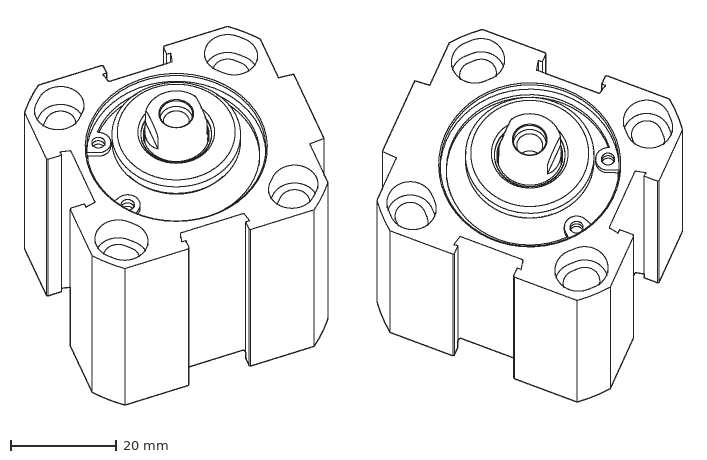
import cadquery as cq
import math

BODY_WIDTH = 46.0
BODY_DEPTH = 48.0
BODY_HEIGHT = 44.5
CORNER_DIAMETER = 60.0
RAIL_HEIGHT = 3.0
RAIL_TOP_WIDTH = 16.15
RAIL_BASE_WIDTH = 16.6

SIDE_SLOT_DEPTH = 4.0
SIDE_LIP_THICKNESS = 2.0
SLOT_LIP_CHAMFER = 0.2
SLOT_MOUTH_WIDTH = 12.2
SLOT_LIP_WIDTH = 13.8
SLOT_FLOOR_WIDTH = 12.95
SLOT_FLOOR_FILLET = 0.2

MOUNT_X = 16.55
MOUNT_Y = 17.5
MOUNT_STRETCH = 1.35
MOUNT_DIAMETER = 5.75
COUNTERBORE_DIAMETER = 8.9
COUNTERBORE_DEPTH = 5.8

MOUTH_DIAMETER = 34.1
MOUTH_CHAMFER = 0.3
BORE_DIAMETER = 33.7
BORE_DEPTH = 13.9

RING_TOP_DEPTH = 2.15
RING_THICKNESS = 1.1
RING_OUTER_DIAMETER = 35.8
RING_INNER_DIAMETER = 31.75
LUG_RADIUS_POSITION = 15.05
LUG_ANGLE = 31.2
LUG_DIAMETER = 4.7
LUG_HOLE_DIAMETER = 2.5

NECK_DIAMETER = 23.0
NECK_ROOT_FILLET = 0.35
LUG_RECESS_DEPTH = 1.1
FLANGE_DIAMETER = 24.5
FLANGE_TOP_DIAMETER = 22.4
FLANGE_TOP_Z = 49.5
FLANGE_TOP_CHAMFER_HEIGHT = 0.85
FLANGE_RIM_HEIGHT = 2.1
FLANGE_UNDERSIDE_HEIGHT = 1.3
WIPER_MOUTH_DIAMETER = 14.6
WIPER_DIAMETER = 13.45
WIPER_DEPTH = 0.9
WIPER_STEP_DIAMETER = 12.55
WIPER_STEP_DEPTH = 3.35

ROD_DIAMETER = 12.0
ROD_TOP_Z = 55.5
ROD_END_FILLET = 1.35
ROD_FLAT_WIDTH = 10.0
ROD_FLAT_LENGTH = 4.65
SOCKET_DIAMETER = 6.25
SOCKET_CHAMFER = 0.15
SOCKET_DEPTH = 2.0
SOCKET_CONE_HEIGHT = 0.35
DRILL_DIAMETER = 4.95
DRILL_MOUTH_DIAMETER = 5.35
DRILL_DEPTH = 10.0
DRILL_TIP_HEIGHT = 0.35

SLOT_FLOOR_DISTANCE = BODY_WIDTH / 2 - SIDE_SLOT_DEPTH
SLOT_LIP_DISTANCE = BODY_WIDTH / 2 - SIDE_LIP_THICKNESS
BORE_FLOOR_Z = BODY_HEIGHT - BORE_DEPTH
RING_TOP_Z = BODY_HEIGHT - RING_TOP_DEPTH
RING_BOTTOM_Z = RING_TOP_Z - RING_THICKNESS


def cylinder(diameter, bottom_z, top_z):
    return cq.Workplane("XY").workplane(offset=bottom_z).circle(diameter / 2).extrude(top_z - bottom_z)


def revolve_profile(points):
    """Turn a closed (radius, z) profile around the Z axis."""
    return cq.Workplane("XZ").polyline(points).close().revolve(360, (0, 0, 0), (0, 1, 0))


def body_block():
    """Rectangular block with its corners rounded by one large circle, plus the tapered rail."""
    block = cq.Workplane("XY").rect(BODY_WIDTH, BODY_DEPTH).extrude(BODY_HEIGHT)
    block = block.intersect(cylinder(CORNER_DIAMETER, 0, BODY_HEIGHT))
    rail_base_y = BODY_DEPTH / 2
    rail_top_y = rail_base_y + RAIL_HEIGHT
    rail = (
        cq.Workplane("XY")
        .polyline([
            (-RAIL_BASE_WIDTH / 2, 0),
            (-RAIL_BASE_WIDTH / 2, rail_base_y),
            (-RAIL_TOP_WIDTH / 2, rail_top_y),
            (RAIL_TOP_WIDTH / 2, rail_top_y),
            (RAIL_BASE_WIDTH / 2, rail_base_y),
            (RAIL_BASE_WIDTH / 2, 0),
        ])
        .close()
        .extrude(BODY_HEIGHT)
    )
    return block.union(rail)


def t_slot(angle, face_distance):
    """T-slot cutter that opens through a -Y face at the given distance, turned about Z by the angle."""
    chamber = (
        cq.Workplane("XY")
        .polyline([
            (-SLOT_LIP_WIDTH / 2, -SLOT_LIP_DISTANCE),
            (-SLOT_FLOOR_WIDTH / 2, -SLOT_FLOOR_DISTANCE),
            (SLOT_FLOOR_WIDTH / 2, -SLOT_FLOOR_DISTANCE),
            (SLOT_LIP_WIDTH / 2, -SLOT_LIP_DISTANCE),
        ])
        .close()
        .extrude(BODY_HEIGHT)
        .edges("|Z and >Y")
        .fillet(SLOT_FLOOR_FILLET)
    )
    mouth_half = SLOT_MOUTH_WIDTH / 2
    flared_half = mouth_half + SLOT_LIP_CHAMFER
    mouth = (
        cq.Workplane("XY")
        .polyline([
            (-mouth_half, -SLOT_LIP_DISTANCE),
            (-mouth_half, -face_distance + SLOT_LIP_CHAMFER),
            (-flared_half, -face_distance),
            (flared_half, -face_distance),
            (mouth_half, -face_distance + SLOT_LIP_CHAMFER),
            (mouth_half, -SLOT_LIP_DISTANCE),
        ])
        .close()
        .extrude(BODY_HEIGHT)
    )
    return chamber.union(mouth).rotate((0, 0, 0), (0, 0, 1), angle)


def mount_slot(x, y):
    """Counterbored slot cutter, stretched square to the line from the bore axis."""
    angle = math.degrees(math.atan2(y, x)) + 90
    through = (
        cq.Workplane("XY").center(x, y)
        .slot2D(MOUNT_DIAMETER + MOUNT_STRETCH, MOUNT_DIAMETER, angle)
        .extrude(BODY_HEIGHT)
    )
    counterbore = (
        cq.Workplane("XY").workplane(offset=BODY_HEIGHT - COUNTERBORE_DEPTH).center(x, y)
        .slot2D(COUNTERBORE_DIAMETER + MOUNT_STRETCH, COUNTERBORE_DIAMETER, angle)
        .extrude(COUNTERBORE_DEPTH)
    )
    return through.union(counterbore)


def bore():
    """Cutter for the blind bore, the retaining ring groove and the chamfered mouth."""
    bore_radius = BORE_DIAMETER / 2
    groove_radius = RING_OUTER_DIAMETER / 2
    mouth_radius = MOUTH_DIAMETER / 2
    return revolve_profile([
        (0, BORE_FLOOR_Z),
        (bore_radius, BORE_FLOOR_Z),
        (bore_radius, RING_BOTTOM_Z),
        (groove_radius, RING_BOTTOM_Z),
        (groove_radius, RING_TOP_Z),
        (mouth_radius, RING_TOP_Z),
        (mouth_radius, BODY_HEIGHT - MOUTH_CHAMFER),
        (mouth_radius + MOUTH_CHAMFER, BODY_HEIGHT),
        (0, BODY_HEIGHT),
    ])


def make_housing():
    body = body_block().cut(bore())
    for angle, face_distance in ((-90, BODY_WIDTH / 2), (0, BODY_DEPTH / 2), (90, BODY_WIDTH / 2)):
        body = body.cut(t_slot(angle, face_distance))
    for side_x in (-1, 1):
        for side_y in (-1, 1):
            body = body.cut(mount_slot(side_x * MOUNT_X, side_y * MOUNT_Y))
    return body


def polar_point(radius, angle):
    """Point at a radius, at an angle in degrees from -Y toward +X."""
    return (radius * math.sin(math.radians(angle)), -radius * math.cos(math.radians(angle)))


def ring_sector(start_angle, end_angle, inner_radius):
    """Wedge between two radial lines, reaching past the ring's outer edge."""
    reach = RING_OUTER_DIAMETER
    points = [
        polar_point(inner_radius, start_angle),
        polar_point(reach, start_angle),
        polar_point(reach, end_angle),
        polar_point(inner_radius, end_angle),
    ]
    return cq.Workplane("XY").workplane(offset=RING_BOTTOM_Z).polyline(points).close().extrude(RING_THICKNESS)


def make_retaining_ring():
    """Open ring whose ends widen into round lugs bounded by tangent radial lines."""
    lug_radius = LUG_DIAMETER / 2
    lug_half_angle = math.degrees(math.asin(lug_radius / LUG_RADIUS_POSITION))
    tangent_radius = math.sqrt(LUG_RADIUS_POSITION ** 2 - lug_radius ** 2)
    disc = cylinder(RING_OUTER_DIAMETER, RING_BOTTOM_Z, RING_TOP_Z)
    ring = disc.cut(cylinder(RING_INNER_DIAMETER, RING_BOTTOM_Z, RING_TOP_Z))
    gap_half_angle = LUG_ANGLE - lug_half_angle
    ring = ring.cut(ring_sector(-gap_half_angle, gap_half_angle, LUG_RADIUS_POSITION))
    for side in (-1, 1):
        angle = side * LUG_ANGLE
        x, y = polar_point(LUG_RADIUS_POSITION, angle)
        shoulder = ring_sector(angle - lug_half_angle, angle + lug_half_angle, tangent_radius)
        eye = cylinder(LUG_DIAMETER, RING_BOTTOM_Z, RING_TOP_Z).translate((x, y, 0))
        ring = ring.union(shoulder.intersect(disc)).union(eye)
        ring = ring.cut(lug_hole(side, RING_BOTTOM_Z, RING_TOP_Z))
    return ring


def lug_hole(side, bottom_z, top_z):
    """Upright cylinder on the axis of the lug hole at the -X or +X side."""
    x, y = polar_point(LUG_RADIUS_POSITION, side * LUG_ANGLE)
    return cylinder(LUG_HOLE_DIAMETER, bottom_z, top_z).translate((x, y, 0))


def neck_root():
    """Selector for the circle where the neck meets the disc."""
    reach = NECK_DIAMETER / 2 + NECK_ROOT_FILLET
    return cq.selectors.BoxSelector(
        (-reach, -reach, RING_BOTTOM_Z - NECK_ROOT_FILLET),
        (reach, reach, RING_BOTTOM_Z + NECK_ROOT_FILLET),
        boundingbox=True,
    )


def make_head_cover():
    disc_radius = BORE_DIAMETER / 2
    neck_radius = NECK_DIAMETER / 2
    flange_radius = FLANGE_DIAMETER / 2
    wiper_radius = WIPER_DIAMETER / 2
    wiper_mouth_radius = WIPER_MOUTH_DIAMETER / 2
    step_radius = WIPER_STEP_DIAMETER / 2
    rod_radius = ROD_DIAMETER / 2
    rim_top_z = FLANGE_TOP_Z - FLANGE_TOP_CHAMFER_HEIGHT
    rim_bottom_z = rim_top_z - FLANGE_RIM_HEIGHT
    neck_top_z = rim_bottom_z - FLANGE_UNDERSIDE_HEIGHT
    wiper_floor_z = FLANGE_TOP_Z - WIPER_DEPTH
    step_floor_z = FLANGE_TOP_Z - WIPER_STEP_DEPTH
    cover = revolve_profile([
        (rod_radius, BORE_FLOOR_Z),
        (disc_radius, BORE_FLOOR_Z),
        (disc_radius, RING_BOTTOM_Z),
        (neck_radius, RING_BOTTOM_Z),
        (neck_radius, neck_top_z),
        (flange_radius, rim_bottom_z),
        (flange_radius, rim_top_z),
        (FLANGE_TOP_DIAMETER / 2, FLANGE_TOP_Z),
        (wiper_mouth_radius, FLANGE_TOP_Z),
        (wiper_radius, FLANGE_TOP_Z - (wiper_mouth_radius - wiper_radius)),
        (wiper_radius, wiper_floor_z),
        (step_radius, wiper_floor_z),
        (step_radius, step_floor_z),
        (rod_radius, step_floor_z),
    ])
    cover = cover.edges(neck_root()).fillet(NECK_ROOT_FILLET)
    for side in (-1, 1):
        cover = cover.cut(lug_hole(side, RING_BOTTOM_Z - LUG_RECESS_DEPTH, RING_BOTTOM_Z))
    return cover


def rod_socket():
    """Cutter for the chamfered socket and the drilled hole below it, with a shallow conical tip."""
    socket_radius = SOCKET_DIAMETER / 2
    drill_radius = DRILL_DIAMETER / 2
    drill_mouth_radius = DRILL_MOUTH_DIAMETER / 2
    drill_mouth_z = ROD_TOP_Z - SOCKET_DEPTH - SOCKET_CONE_HEIGHT
    return revolve_profile([
        (0, ROD_TOP_Z),
        (socket_radius + SOCKET_CHAMFER, ROD_TOP_Z),
        (socket_radius, ROD_TOP_Z - SOCKET_CHAMFER),
        (socket_radius, ROD_TOP_Z - SOCKET_DEPTH),
        (drill_mouth_radius, drill_mouth_z),
        (drill_radius, drill_mouth_z - (drill_mouth_radius - drill_radius)),
        (drill_radius, ROD_TOP_Z - DRILL_DEPTH),
        (0, ROD_TOP_Z - DRILL_DEPTH - DRILL_TIP_HEIGHT),
    ])


def wrench_flat(side):
    """Cutter for one flat, facing -Y or +Y, that runs out at 45 degrees below."""
    flat_y = ROD_FLAT_WIDTH / 2
    flat_bottom_z = ROD_TOP_Z - ROD_FLAT_LENGTH
    runout = ROD_DIAMETER / 2 - flat_y
    return (
        cq.Workplane("YZ")
        .polyline([
            (side * flat_y, ROD_TOP_Z),
            (side * flat_y, flat_bottom_z),
            (side * (flat_y + runout), flat_bottom_z - runout),
            (side * (flat_y + runout), ROD_TOP_Z),
        ])
        .close()
        .extrude(ROD_DIAMETER / 2, both=True)
    )


def make_rod():
    rod = cylinder(ROD_DIAMETER, BORE_FLOOR_Z, ROD_TOP_Z).faces(">Z").edges().fillet(ROD_END_FILLET)
    for side in (-1, 1):
        rod = rod.cut(wrench_flat(side))
    return rod.cut(rod_socket())


housing = make_housing()
retaining_ring = make_retaining_ring()
head_cover = make_head_cover()
rod = make_rod()

result = cq.Compound.makeCompound([
    housing.val(),
    retaining_ring.val(),
    head_cover.val(),
    rod.val(),
])